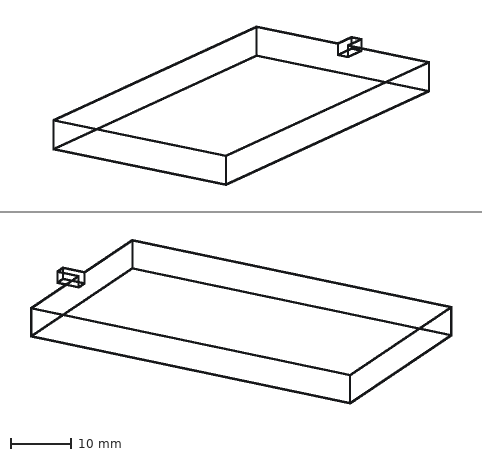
import cadquery as cq

overall_length = 64.5
plate_width = 34.3
plate_thickness = 5.0
tab_length = 4.05
tab_width = 2.0
tab_thickness = 2.0

plate_length = overall_length - tab_length


def make_plate():
    """Flat rectangular plate, centred on X, with its front face at Y = 0 and its base at Z = 0."""
    return cq.Workplane("XY").box(
        plate_width, plate_length, plate_thickness, centered=(True, False, False)
    )


def make_tab():
    """Small tab in the middle of the rear edge, flush with the top of the plate."""
    tab = cq.Workplane("XY").box(
        tab_width, tab_length, tab_thickness, centered=(True, False, False)
    )
    return tab.translate((0, plate_length, plate_thickness - tab_thickness))


result = make_plate().union(make_tab())